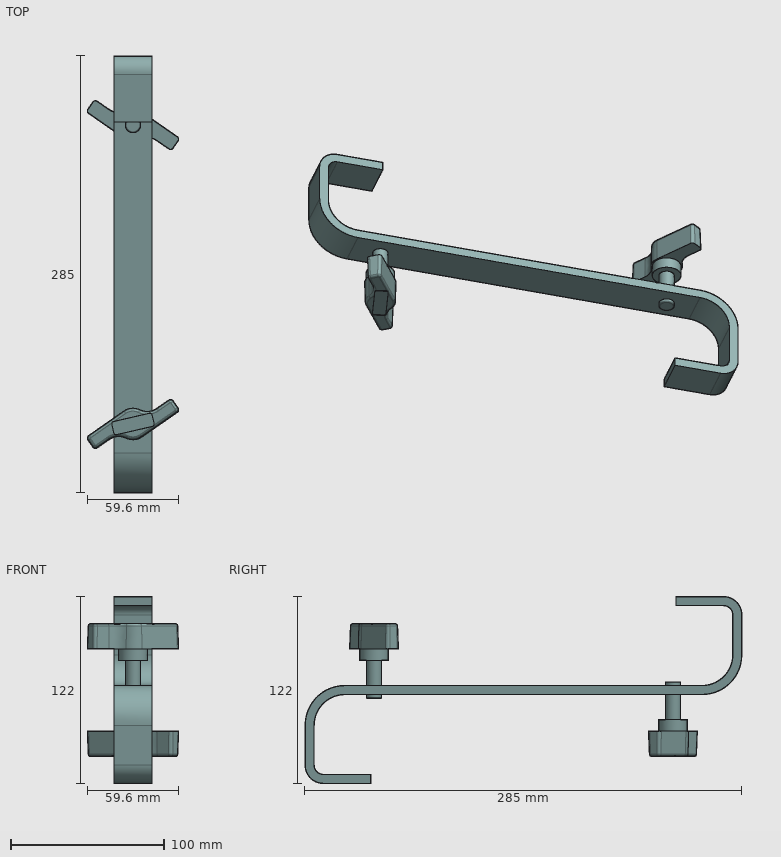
import cadquery as cq
import math

STRAP_WIDTH = 25.0
STRAP_THICKNESS = 6.0
OVERALL_LENGTH = 285.0
OVERALL_HEIGHT = 122.0
LARGE_BEND_RADIUS = 26.0
SMALL_BEND_RADIUS = 12.0
HOOK_REACH = 43.0

SCREW_DIAMETER = 10.0
SCREW_INSET = 45.0
SCREW_PROTRUSION = 2.4
SCREW_TIP_RADIUS = 0.6

COLLAR_DIAMETER = 18.8
COLLAR_BASE = 19.3
KNOB_BASE = 26.8
KNOB_TOP = 43.3
HUB_RADIUS = 10.3
WING_LENGTH = 30.1
WING_INNER_OFFSET = 0.5
WING_ANGLE = 34.8
WING_ROOT_RADIUS = 11.0
WING_CORNER_RADIUS = 2.0
KNOB_DRAFT = 1.6
KNOB_EDGE_RADIUS = 1.5

LABEL_LENGTH = 27.0
LABEL_WIDTH = 8.8
LABEL_CORNER_RADIUS = 1.5
LABEL_DEPTH = 0.5
LABEL_ANGLE = 13.0

half_length = OVERALL_LENGTH / 2
half_height = OVERALL_HEIGHT / 2
half_thickness = STRAP_THICKNESS / 2
screw_y = half_length - SCREW_INSET
HALF_TURN = 180


def make_half_strap():
    """Half of the strap, from the middle of the web to the lip of the raised hook at +Y."""
    large_inner = LARGE_BEND_RADIUS - STRAP_THICKNESS
    small_inner = SMALL_BEND_RADIUS - STRAP_THICKNESS
    inner_y = half_length - STRAP_THICKNESS
    lip_tip_y = half_length - HOOK_REACH
    large_start_y = half_length - LARGE_BEND_RADIUS
    large_end_z = LARGE_BEND_RADIUS - half_thickness
    small_start_z = half_height - SMALL_BEND_RADIUS
    small_end_y = half_length - SMALL_BEND_RADIUS
    lip_bottom_z = half_height - STRAP_THICKNESS
    profile = (
        cq.Workplane("YZ")
        .moveTo(0, -half_thickness)
        .lineTo(large_start_y, -half_thickness)
        .radiusArc((half_length, large_end_z), -LARGE_BEND_RADIUS)
        .lineTo(half_length, small_start_z)
        .radiusArc((small_end_y, half_height), -SMALL_BEND_RADIUS)
        .lineTo(lip_tip_y, half_height)
        .lineTo(lip_tip_y, lip_bottom_z)
        .lineTo(small_end_y, lip_bottom_z)
        .radiusArc((inner_y, small_start_z), small_inner)
        .lineTo(inner_y, large_end_z)
        .radiusArc((large_start_y, half_thickness), large_inner)
        .lineTo(0, half_thickness)
        .close()
    )
    return profile.extrude(STRAP_WIDTH / 2, both=True)


def turned_over(body):
    """The body turned half a turn about the X axis, which carries one end onto the other."""
    return body.rotate((0, 0, 0), (1, 0, 0), HALF_TURN)


def make_strap():
    half = make_half_strap()
    strap = half.union(turned_over(half))
    holes = (
        cq.Workplane("XY")
        .pushPoints([(0, -screw_y), (0, screw_y)])
        .circle(SCREW_DIAMETER / 2)
        .extrude(half_thickness, both=True)
    )
    return strap.cut(holes)


def make_knob_head():
    """Round hub with two staggered wings, each tangent to the hub on its outer face."""
    root_centre_v = WING_ROOT_RADIUS - WING_INNER_OFFSET
    root_angle = math.asin(root_centre_v / (HUB_RADIUS + WING_ROOT_RADIUS))
    root_u = (HUB_RADIUS + WING_ROOT_RADIUS) * math.cos(root_angle)
    hub_u = HUB_RADIUS * math.cos(root_angle)
    hub_v = HUB_RADIUS * math.sin(root_angle)

    outline = cq.Workplane("XY").workplane(offset=KNOB_BASE).moveTo(0, -HUB_RADIUS)
    for side in (1, -1):
        outline = (
            outline.lineTo(side * WING_LENGTH, -side * HUB_RADIUS)
            .lineTo(side * WING_LENGTH, -side * WING_INNER_OFFSET)
            .lineTo(side * root_u, -side * WING_INNER_OFFSET)
            .radiusArc((side * hub_u, side * hub_v), WING_ROOT_RADIUS)
            .radiusArc((0, side * HUB_RADIUS), -HUB_RADIUS)
        )
    blank = outline.close().extrude(KNOB_TOP - KNOB_BASE, taper=KNOB_DRAFT)

    wing_end_depth = HUB_RADIUS / 2
    for side in (1, -1):
        wing_end = cq.selectors.BoxSelector(
            (side * (WING_LENGTH - wing_end_depth), -HUB_RADIUS, KNOB_BASE),
            (side * WING_LENGTH, HUB_RADIUS, KNOB_TOP),
        )
        blank = blank.edges("not(#Z)").edges(wing_end).fillet(WING_CORNER_RADIUS)
    head = blank.faces(">Z").edges().fillet(KNOB_EDGE_RADIUS)
    return head.rotate((0, 0, 0), (0, 0, 1), WING_ANGLE)


def make_label_recess():
    recess = (
        cq.Workplane("XY")
        .workplane(offset=KNOB_TOP - LABEL_DEPTH)
        .rect(LABEL_LENGTH, LABEL_WIDTH)
        .extrude(LABEL_DEPTH)
        .edges("|Z")
        .fillet(LABEL_CORNER_RADIUS)
    )
    return recess.rotate((0, 0, 0), (0, 0, 1), LABEL_ANGLE)


def make_knob():
    """Wing knob, collar and screw as one solid at the -Y end of the strap."""
    tip_z = -half_thickness - SCREW_PROTRUSION
    screw = (
        cq.Workplane("XY")
        .workplane(offset=tip_z)
        .circle(SCREW_DIAMETER / 2)
        .extrude(COLLAR_BASE - tip_z)
        .faces("<Z")
        .edges()
        .fillet(SCREW_TIP_RADIUS)
    )
    collar = (
        cq.Workplane("XY")
        .workplane(offset=COLLAR_BASE)
        .circle(COLLAR_DIAMETER / 2)
        .extrude(KNOB_BASE - COLLAR_BASE)
    )
    head = make_knob_head().cut(make_label_recess())
    return head.union(collar).union(screw).translate((0, -screw_y, 0))


strap = make_strap()
front_knob = make_knob()
knobs = [front_knob, turned_over(front_knob)]

result = cq.Compound.makeCompound([strap.val(), *[knob.val() for knob in knobs]])